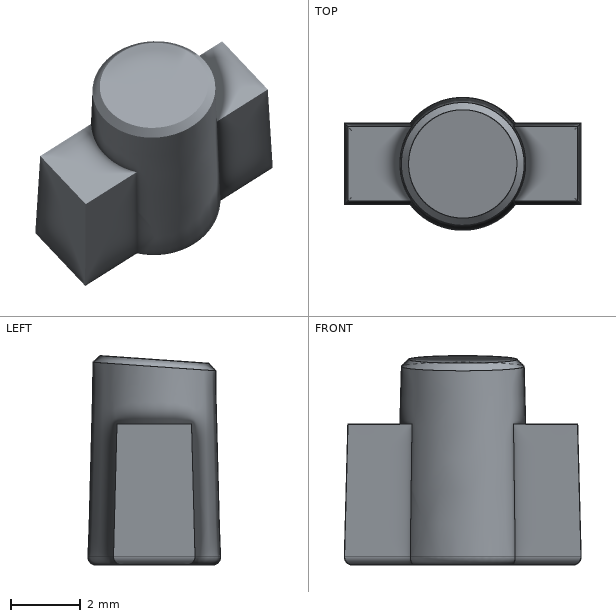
import cadquery as cq
import math

wing_span = 6.83
wing_depth = 2.35
wing_height = 4.065
post_diameter = 3.83
post_axis_height = 5.93
top_slope = 4.0
draft_angle = 1.5
bottom_fillet = 0.24
top_chamfer = 0.205

draft = math.tan(math.radians(draft_angle))
foot_growth = 2 * bottom_fillet * draft


def make_wings():
    """Drafted rectangular bar reaching out to both sides of the post."""
    return (
        cq.Workplane("XY")
        .rect(wing_span + foot_growth, wing_depth + foot_growth)
        .extrude(wing_height, taper=draft_angle)
        .faces("<Z")
        .edges()
        .fillet(bottom_fillet)
    )


def make_post():
    """Drafted round post, cut by a sloping plane and chamfered around the top."""
    foot_radius = (post_diameter + foot_growth) / 2
    rise = foot_radius * math.tan(math.radians(top_slope))
    blank_height = post_axis_height + 2 * rise
    cone = (
        cq.Workplane("XY")
        .circle(foot_radius)
        .extrude(blank_height, taper=draft_angle)
    )
    keep_below = (
        cq.Workplane("YZ")
        .moveTo(-foot_radius, 0)
        .lineTo(foot_radius, 0)
        .lineTo(foot_radius, post_axis_height + rise)
        .lineTo(-foot_radius, post_axis_height - rise)
        .close()
        .extrude(foot_radius, both=True)
    )
    post = cone.intersect(keep_below)
    post = post.faces(">Z").edges().chamfer(top_chamfer)
    return post.faces("<Z").edges().fillet(bottom_fillet)


result = make_post().union(make_wings())